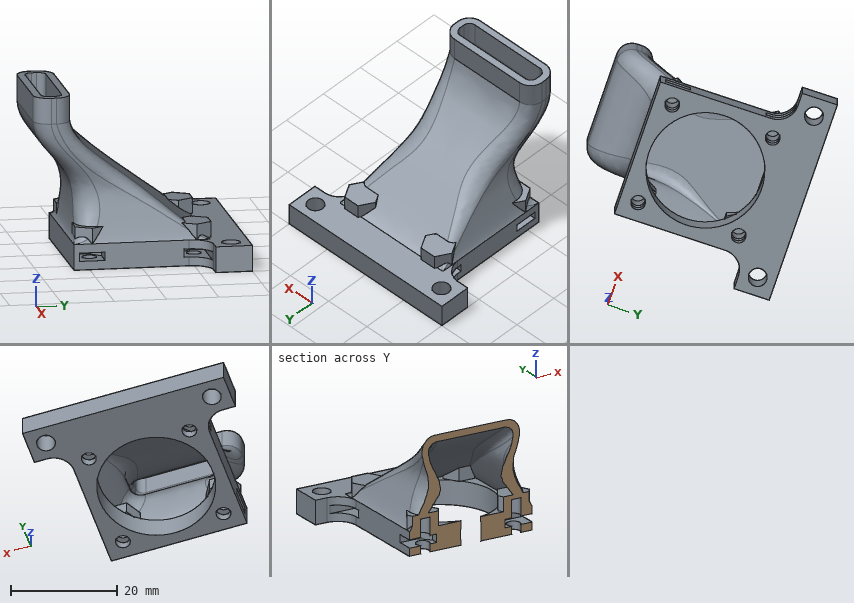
import cadquery as cq
import math

body_size = 27.0
base_height = 5.0
flange_width = 40.0
flange_depth = 7.0
flange_front = 26.0
gusset_radius = 4.0
mount_hole_diameter = 3.5

screw_pitch = 20.0
screw_diameter = 2.75
boss_flats = 6.0
boss_top = 8.0
boss_roof = 1.0
nut_width = 4.9
nut_height = 1.6
nut_corner_cut = 2.0

fan_opening_diameter = 22.4
nozzle_width = 23.0
nozzle_depth = 7.0
nozzle_height = 5.0
nozzle_corner = 3.0
nozzle_bottom = 28.0
wall = 1.5
min_corner = 0.2

duct_sections = [
    (base_height, 0.0, flange_front, body_size / 2, min_corner, min_corner),
    (boss_top, 0.8, 21.7, 12.15, 3.8, 1.6),
    (12.0, 0.95, 16.65, 10.7, 4.4, 2.8),
    (15.2, 0.5, 12.5, 10.05, 4.0, 4.0),
    (18.4, -1.1, 8.3, 10.5, 3.6, 4.4),
    (22.4, -4.45, 3.5, 11.25, 3.3, 3.6),
    (nozzle_bottom, -nozzle_depth, 0.0, nozzle_width / 2, nozzle_corner, nozzle_corner),
]

mount_hole_x = (flange_width - flange_depth) / 2
flange_back = flange_front + flange_depth
screw_offset = screw_pitch / 2
body_center_y = body_size / 2


def rounded_section(height, front, back, half_width, front_corner, back_corner):
    """Horizontal rounded rectangle used as one duct section."""
    outline = cq.Sketch().rect(2 * half_width, back - front)
    outline = outline.vertices("<Y").fillet(front_corner).reset()
    outline = outline.vertices(">Y").fillet(back_corner)
    return outline.moved(cq.Location(cq.Vector(0, (front + back) / 2, height)))


def duct_solid(inset):
    """Duct loft with every section shrunk by inset, carried straight up through the nozzle."""
    sections = [
        rounded_section(
            height,
            front + inset,
            back - inset,
            half_width - inset,
            max(front_corner - inset, min_corner),
            max(back_corner - inset, min_corner),
        )
        for height, front, back, half_width, front_corner, back_corner in duct_sections
    ]
    duct = cq.Workplane("XY").placeSketch(*sections).loft()
    nozzle = cq.Workplane("XY").placeSketch(sections[-1]).extrude(nozzle_height)
    return duct.union(nozzle)


def base_plate():
    """Fan plate with its rear flange, concave gussets and two mounting holes."""
    plate = cq.Workplane("XY").box(body_size, body_size, base_height, centered=(True, False, False))
    flange = (
        cq.Workplane("XY")
        .box(flange_width, flange_depth, base_height, centered=(True, False, False))
        .translate((0, flange_front, 0))
    )
    plate = plate.union(flange)
    arc_mid = gusset_radius * (1 - math.sqrt(0.5))
    for side in (-1, 1):
        edge_x = side * body_size / 2
        gusset = (
            cq.Workplane("XY")
            .moveTo(edge_x, flange_front)
            .lineTo(edge_x + side * gusset_radius, flange_front)
            .threePointArc(
                (edge_x + side * arc_mid, flange_front - arc_mid),
                (edge_x, flange_front - gusset_radius),
            )
            .close()
            .extrude(base_height)
        )
        plate = plate.union(gusset)
    mount_holes = (
        cq.Workplane("XY")
        .pushPoints([(-mount_hole_x, 0), (mount_hole_x, 0)])
        .circle(mount_hole_diameter / 2)
        .extrude(base_height)
        .translate((0, flange_back - flange_depth / 2, 0))
    )
    return plate.cut(mount_holes)


def nut_slot(side_x, side_y):
    """Side-entry nut slot; its inner end is cut off at 45 degrees to clear the fan opening."""
    inner_x = screw_offset - nut_width / 2
    outer_x = body_size / 2 + gusset_radius
    near_y = screw_offset - nut_width / 2
    far_y = screw_offset + nut_width / 2
    outline = [
        (outer_x, near_y),
        (inner_x + nut_corner_cut, near_y),
        (inner_x, near_y + nut_corner_cut),
        (inner_x, far_y),
        (outer_x, far_y),
    ]
    return (
        cq.Workplane("XY")
        .polyline([(side_x * x, body_center_y + side_y * y) for x, y in outline])
        .close()
        .extrude(nut_height)
        .translate((0, 0, (base_height - nut_height) / 2))
    )


def at_screw(shape, side_x, side_y):
    """Move a shape from the Z axis to one corner screw."""
    return shape.translate((side_x * screw_offset, body_center_y + side_y * screw_offset, 0))


fan_opening = (
    cq.Workplane("XY")
    .center(0, body_center_y)
    .circle(fan_opening_diameter / 2)
    .extrude(base_height)
)
boss = (
    cq.Workplane("XY", origin=(0, 0, base_height))
    .polygon(6, boss_flats / math.cos(math.pi / 6))
    .extrude(boss_top - base_height)
)
screw_hole = cq.Workplane("XY").circle(screw_diameter / 2).extrude(boss_top - boss_roof)

result = base_plate().cut(fan_opening).union(duct_solid(0).cut(duct_solid(wall)))
for side_x in (-1, 1):
    for side_y in (-1, 1):
        result = result.union(at_screw(boss, side_x, side_y))
        result = result.cut(at_screw(screw_hole, side_x, side_y))
        result = result.cut(nut_slot(side_x, side_y))